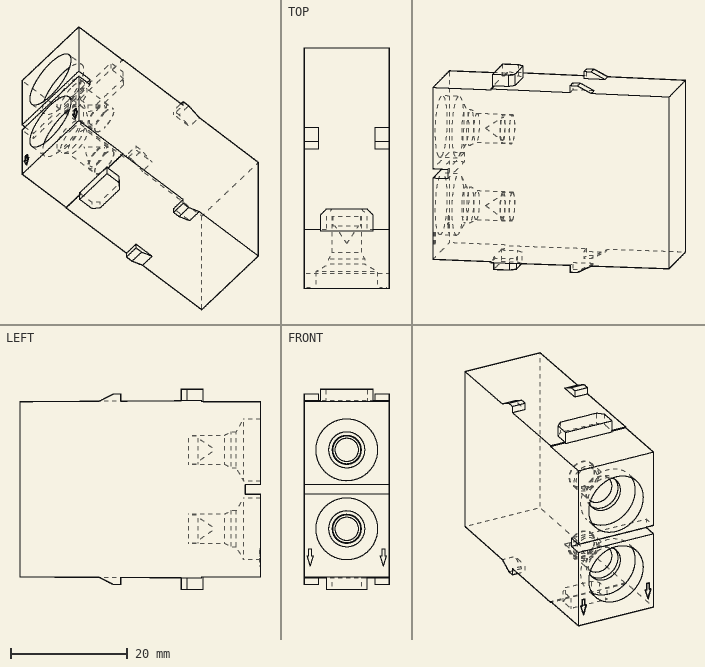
import cadquery as cq

width = 14.6
length = 41.3
overall_height = 34.4
front_height = 30.1
collar_height = 30.45
rear_height = 30.1
shoulder_y = 10.1

groove_width = 1.6
groove_depth = 2.6

opening_spacing = 13.55
mouth_diameter = 10.6
mouth_depth = 2.95
bore_diameter = 6.2
funnel_end_depth = 4.2
throat_diameter = 5.0
bore_end_depth = 5.1
throat_start_depth = 6.2
throat_end_depth = 12.4
pin_diameter = 4.8
pin_shoulder_depth = 10.75
pin_cone_diameter = 4.0
pin_cone_height = 2.97

tab_front_y = 9.87
tab_back_y = 13.63
top_tab_width = 9.05
bottom_tab_width = 7.02
tab_chamfer = 1.0

hook_width = 2.48
hook_front_y = 24.0
hook_crest_y = 25.28
hook_back_y = 27.85
hook_height = 32.7
hook_root_depth = 2.05

arrow_offset_x = 6.28
arrow_top_z = -10.2
arrow_head_z = -11.4
arrow_tip_z = -13.17
arrow_shaft_width = 0.55
arrow_head_width = 1.07
engraving_depth = 0.15


def extrude_across(points, x_start, x_length):
    """Extrude a (Y, Z) outline along X."""
    return cq.Workplane("YZ", origin=(x_start, 0, 0)).polyline(points).close().extrude(x_length)


def make_block():
    upper_edge = [
        (0, front_height / 2),
        (shoulder_y, front_height / 2),
        (shoulder_y, collar_height / 2),
        (length, rear_height / 2),
    ]
    lower_edge = [(y, -z) for y, z in reversed(upper_edge)]
    return extrude_across(upper_edge + lower_edge, -width / 2, width)


def make_groove():
    return cq.Workplane("XY").box(width, 2 * groove_depth, groove_width)


def make_opening(z):
    """Stepped, funnelled hole around a cone-tipped pin, turned about an axis along Y."""
    outline = [
        (0, 0),
        (mouth_diameter / 2, 0),
        (mouth_diameter / 2, mouth_depth),
        (bore_diameter / 2, funnel_end_depth),
        (bore_diameter / 2, bore_end_depth),
        (throat_diameter / 2, throat_start_depth),
        (throat_diameter / 2, throat_end_depth),
        (pin_diameter / 2, throat_end_depth),
        (pin_diameter / 2, pin_shoulder_depth),
        (pin_cone_diameter / 2, pin_shoulder_depth),
        (0, pin_shoulder_depth - pin_cone_height),
    ]
    opening = cq.Workplane("XY").polyline(outline).close().revolve(360, (0, 0), (0, 1))
    return opening.translate((0, 0, z))


def make_tab(tab_width, side):
    """Tab with chamfered rear corners; side is +1 for the top and -1 for the bottom."""
    tab = (
        cq.Workplane("XY")
        .box(tab_width, tab_back_y - tab_front_y, overall_height / 2, centered=(True, False, False))
        .edges("|Z and >Y")
        .chamfer(tab_chamfer)
        .translate((0, tab_front_y, 0))
    )
    return tab if side > 0 else tab.mirror("XY")


def make_hook(x_start, side):
    """Ramped latch hook rooted inside the block."""
    root_z = front_height / 2 - hook_root_depth
    ramp_foot_z = front_height / 2
    outline = [
        (hook_front_y, root_z),
        (hook_front_y, hook_height / 2),
        (hook_crest_y, hook_height / 2),
        (hook_back_y, ramp_foot_z),
        (hook_back_y, root_z),
    ]
    return extrude_across([(y, side * z) for y, z in outline], x_start, hook_width)


def make_arrow(x):
    half_outline = [
        (arrow_shaft_width / 2, arrow_top_z),
        (arrow_shaft_width / 2, arrow_head_z),
        (arrow_head_width / 2, arrow_head_z),
    ]
    mirrored_outline = [(-dx, z) for dx, z in reversed(half_outline)]
    outline = half_outline + [(0, arrow_tip_z)] + mirrored_outline
    arrow = cq.Workplane("XZ").polyline(outline).close().extrude(-engraving_depth)
    return arrow.translate((x, 0, 0))


result = make_block()
result = result.union(make_tab(top_tab_width, 1)).union(make_tab(bottom_tab_width, -1))
for side in (1, -1):
    for hook_x in (-width / 2, width / 2 - hook_width):
        result = result.union(make_hook(hook_x, side))
result = result.cut(make_groove())
for sign in (1, -1):
    result = result.cut(make_opening(sign * opening_spacing / 2))
    result = result.cut(make_arrow(sign * arrow_offset_x))